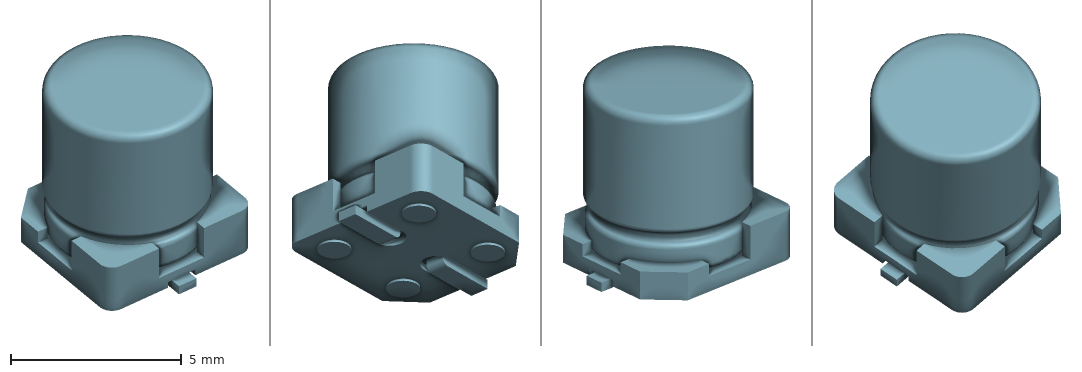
import cadquery as cq

lead_thickness = 0.3
base_bottom = 0.14
foot_bottom = 0.07
notch_floor = 0.65
low_corner_top = 1.05
high_corner_top = 1.74
can_top = 5.8

base_size = 5.3
chamfer_size = 0.985
corner_radius = 0.9 / 2
notch_width = 1.64

can_radius = 5.0 / 2
shoulder_radius = 2.44
neck_radius = 4.45 / 2
top_fillet = 0.25
bottom_fillet = 0.23
shoulder_edge = 1.475
neck_start = 1.775
neck_end = 1.87
can_edge = 2.17
rim_share = 0.55

lead_span = 5.9
lead_width = 0.64
lead_inner_x = 0.95
lead_bend_radius = 0.21
recess_width = 1.005
recess_top = 0.35
recess_center_x = 1.07
joint_overlap = 0.06

foot_diameter = 1.0
foot_y = 1.64
foot_left_x = -1.435
foot_right_x = 1.64


def block(x_min, x_max, width, z_min, z_max):
    """Box centred on Y, given by its X and Z limits."""
    return (
        cq.Workplane("XY", origin=((x_min + x_max) / 2, 0, z_min))
        .box(x_max - x_min, width, z_max - z_min, centered=(True, True, False))
    )


def make_base():
    half = base_size / 2
    base = block(-half, half, base_size, base_bottom, high_corner_top)
    base = base.edges("|Z and <X").chamfer(chamfer_size)
    base = base.edges("|Z and >X").fillet(corner_radius)
    base = base.cut(block(-half, 0, base_size, low_corner_top, high_corner_top))
    base = base.cut(block(-half, half, notch_width, notch_floor, high_corner_top))
    base = base.cut(block(-notch_width / 2, notch_width / 2, base_size, notch_floor, high_corner_top))
    pocket = (
        cq.Workplane("XY", origin=(0, 0, notch_floor))
        .circle(shoulder_radius)
        .extrude(high_corner_top - notch_floor)
    )
    return base.cut(pocket)


def between(start, end, share):
    return tuple(a + (b - a) * share for a, b in zip(start, end))


def make_can():
    shoulder = (shoulder_radius, shoulder_edge)
    neck_bottom = (neck_radius, neck_start)
    neck_top = (neck_radius, neck_end)
    rim = (can_radius, can_edge)
    lower_inflection = between(shoulder, neck_bottom, rim_share)
    upper_inflection = between(rim, neck_top, rim_share)
    profile = (
        cq.Workplane("XZ")
        .moveTo(0, notch_floor)
        .lineTo(shoulder_radius - bottom_fillet, notch_floor)
        .tangentArcPoint((shoulder_radius, notch_floor + bottom_fillet), relative=False)
        .lineTo(*shoulder)
        .tangentArcPoint(lower_inflection, relative=False)
        .tangentArcPoint(neck_bottom, relative=False)
        .lineTo(*neck_top)
        .tangentArcPoint(upper_inflection, relative=False)
        .tangentArcPoint(rim, relative=False)
        .lineTo(can_radius, can_top - top_fillet)
        .tangentArcPoint((can_radius - top_fillet, can_top), relative=False)
        .lineTo(0, can_top)
        .close()
    )
    return profile.revolve(360, (0, 0, 0), (0, 1, 0))


def make_recess():
    """Recess under the -X side, rounded at its inner end."""
    height = recess_top - base_bottom
    round_end = (
        cq.Workplane("XY", origin=(-recess_center_x, 0, base_bottom))
        .circle(recess_width / 2)
        .extrude(height)
    )
    return round_end.union(block(-base_size / 2, -recess_center_x, recess_width, base_bottom, recess_top))


def make_lead():
    """Lead on the -X side, bent up into the base at its inner end."""
    height = notch_floor + joint_overlap
    leg_x = -lead_inner_x
    lead = block(-lead_span / 2, leg_x, lead_width, 0, height)
    lead = lead.edges("|Y and >X and <Z").fillet(lead_bend_radius)
    above = block(-lead_span / 2, leg_x - lead_thickness, lead_width, lead_thickness, height)
    return lead.cut(above)


def make_feet():
    positions = [(x, y) for x in (foot_left_x, foot_right_x) for y in (-foot_y, foot_y)]
    return (
        cq.Workplane("XY", origin=(0, 0, foot_bottom))
        .pushPoints(positions)
        .circle(foot_diameter / 2)
        .extrude(base_bottom - foot_bottom)
    )


def on_both_sides(shape):
    return shape.union(shape.mirror("YZ"))


result = make_base().cut(on_both_sides(make_recess()))
result = result.union(make_can()).union(on_both_sides(make_lead())).union(make_feet())